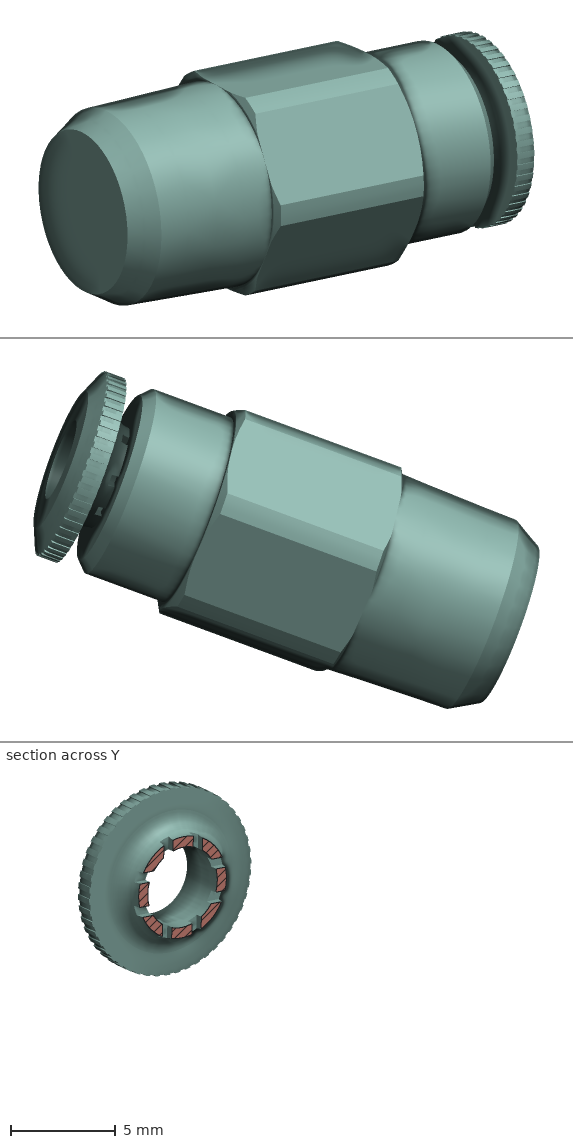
import cadquery as cq
import math


length = 23.0
plug_chamfer_end = 1.4
hex_start = 7.5
hex_end = 16.0
body_end = 20.5
collar_start = 21.5
collar_rim_end = 22.45

plug_face_radius = 4.0
plug_tip_radius = 4.8
plug_taper = 1 / 16
plug_base_radius = plug_tip_radius + (hex_start - plug_chamfer_end) * plug_taper / 2

hex_across_flats = 10.0
hex_corner_radius = 5.5
hex_plug_face_radius = 5.15
hex_body_face_radius = 5.01
hex_chamfer_angle = math.radians(30)

body_radius = 4.7
body_chamfer = 0.5
collar_radius = body_radius
collar_face_radius = 3.5
neck_radius = 2.55
neck_fillet = collar_start - body_end

bore_radius = 2.0
bore_bottom = hex_end

slot_offset = 0.85
slot_width = 0.5
slot_height = 0.35
slot_twist = 1.0

groove_count = 50
groove_depth = 0.058
groove_lead_depth = 0.12
groove_lead_length = 0.28
groove_overrun = 0.07
groove_clearance = 0.23


def revolve_about_y(profile):
    return profile.close().revolve(360, (0, 0, 0), (0, 1, 0))


def make_plug():
    profile = (
        cq.Workplane("XY")
        .lineTo(plug_face_radius, 0)
        .lineTo(plug_tip_radius, plug_chamfer_end)
        .lineTo(plug_base_radius, hex_start)
        .lineTo(0, hex_start)
    )
    return revolve_about_y(profile)


def make_hexagon():
    """Hexagon with flats on +Z and -Z, its corners turned round and chamfered at both ends."""
    across_corners = hex_across_flats / math.cos(math.radians(30))
    prism = (
        cq.Workplane("XZ", origin=(0, hex_start, 0))
        .polygon(6, across_corners)
        .extrude(hex_start - hex_end)
    )
    slope = math.tan(hex_chamfer_angle)
    plug_side_chamfer = (hex_corner_radius - hex_plug_face_radius) * slope
    body_side_chamfer = (hex_corner_radius - hex_body_face_radius) * slope
    envelope = (
        cq.Workplane("XY")
        .moveTo(0, hex_start)
        .lineTo(hex_plug_face_radius, hex_start)
        .lineTo(hex_corner_radius, hex_start + plug_side_chamfer)
        .lineTo(hex_corner_radius, hex_end - body_side_chamfer)
        .lineTo(hex_body_face_radius, hex_end)
        .lineTo(0, hex_end)
    )
    return prism.intersect(revolve_about_y(envelope))


def make_body():
    profile = (
        cq.Workplane("XY")
        .moveTo(0, hex_end)
        .lineTo(body_radius, hex_end)
        .lineTo(body_radius, body_end - body_chamfer)
        .lineTo(body_radius - body_chamfer, body_end)
        .lineTo(0, body_end)
    )
    return revolve_about_y(profile)


def make_collar():
    """Release collar whose neck flares into the rim with a quarter-round fillet."""
    flare_radius = neck_radius + neck_fillet
    arc_reach = neck_fillet * math.sqrt(0.5)
    profile = (
        cq.Workplane("XY")
        .moveTo(0, body_end)
        .lineTo(neck_radius, body_end)
        .threePointArc(
            (flare_radius - arc_reach, body_end + arc_reach),
            (flare_radius, collar_start),
        )
        .lineTo(collar_radius, collar_start)
        .lineTo(collar_radius, collar_rim_end)
        .lineTo(collar_face_radius, length)
        .lineTo(0, length)
    )
    return revolve_about_y(profile)


def cut_knurl(part):
    """Cut axial grooves around the rim, each one deepening where it leaves through the cone."""
    pitch = 360 / groove_count
    groove_width = math.pi * collar_radius / groove_count
    outside = collar_radius + groove_clearance
    floor = collar_radius - groove_depth
    lead_floor = collar_radius - groove_lead_depth
    lead_end = collar_rim_end + groove_overrun
    groove = (
        cq.Workplane("XY", origin=(0, 0, -groove_width / 2))
        .moveTo(outside, collar_start)
        .lineTo(floor, collar_start)
        .lineTo(floor, lead_end - groove_lead_length)
        .lineTo(lead_floor, lead_end)
        .lineTo(outside, lead_end)
        .close()
        .extrude(groove_width)
    )
    first_angle = -90 - pitch / 4
    for index in range(groove_count):
        part = part.cut(groove.rotate((0, 0, 0), (0, 1, 0), first_angle + index * pitch))
    return part


def cut_slots(part):
    """Cut straight slots right across the neck, resting on the end of the body."""
    slot_length = 2 * (body_radius - body_chamfer)
    slot = cq.Workplane("XY").box(slot_length, slot_height, slot_width, centered=(True, False, True))
    for quarter_turn in (0, 90):
        for side in (-1, 1):
            placed = slot.translate((0, body_end, side * slot_offset))
            part = part.cut(placed.rotate((0, 0, 0), (0, 1, 0), quarter_turn + slot_twist))
    return part


def cut_bore(part):
    bore = (
        cq.Workplane("XZ", origin=(0, bore_bottom, 0))
        .circle(bore_radius)
        .extrude(bore_bottom - length)
    )
    return part.cut(bore)


result = make_plug().union(make_hexagon()).union(make_body()).union(make_collar())
result = cut_bore(result)
result = cut_slots(result)
result = cut_knurl(result)